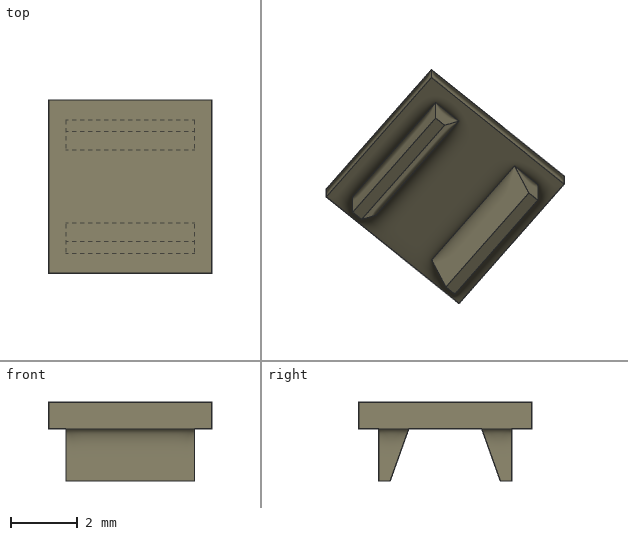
import cadquery as cq

plate_length_x = 4.9
plate_width_y = 5.2
overall_height = 2.37
plate_thickness = 0.8

leg_length_x = 3.86
leg_span_y = 4.0
leg_root_thickness = 0.91
leg_tip_thickness = 0.35
leg_height = overall_height - plate_thickness


def make_plate():
    """Flat rectangular plate standing on the Z = 0 plane."""
    return cq.Workplane("XY").box(
        plate_length_x, plate_width_y, plate_thickness, centered=(True, True, False)
    )


def make_leg(side):
    """Leg with a vertical outer face and a sloped inner face; side is +1 or -1 along Y."""
    outer_y = leg_span_y / 2
    profile = [
        (side * outer_y, 0),
        (side * (outer_y - leg_root_thickness), 0),
        (side * (outer_y - leg_tip_thickness), -leg_height),
        (side * outer_y, -leg_height),
    ]
    return cq.Workplane("YZ").polyline(profile).close().extrude(leg_length_x / 2, both=True)


result = make_plate()
for side in (1, -1):
    result = result.union(make_leg(side))